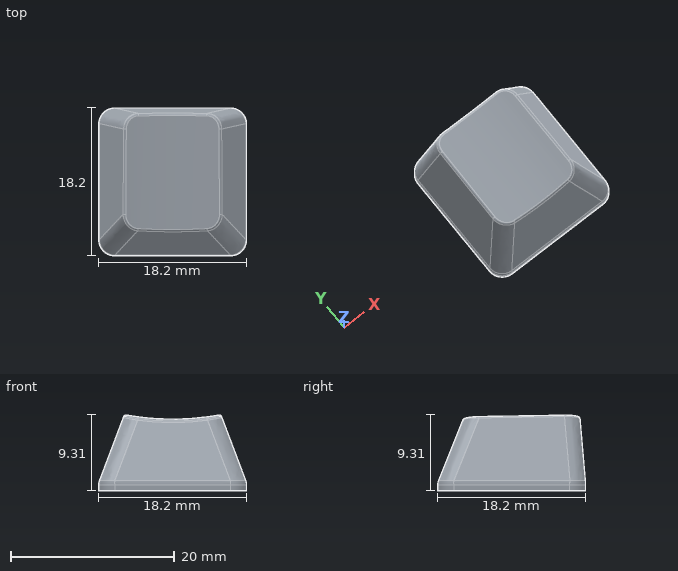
import cadquery as cq
import math


skirt_width = 18.16
skirt_height = 0.72
skirt_corner_radius = 2.0

band_top = 1.28

side_lean = 20.7
front_lean = 21.9
back_lean = 4.9
blank_height = 11.0
wall_corner_radius = 1.9

dish_radius = 31.0
dish_tilt = 1.0
dish_center_height = 8.67
rim_radius = 0.3


def wall_inset(lean, height):
    """Distance a wall has moved in from the skirt: an arc through the band, then a straight slope."""
    full_angle = math.radians(lean)
    arc_radius = (band_top - skirt_height) / math.sin(full_angle)
    arc_height = min(height, band_top) - skirt_height
    arc_angle = math.asin(arc_height / arc_radius)
    slope_height = max(height - band_top, 0)
    return arc_radius * (1 - math.cos(arc_angle)) + slope_height * math.tan(full_angle)


def wall_section(height, corner_radius):
    """Rounded outline of the walls at a height."""
    front_inset = wall_inset(front_lean, height)
    back_inset = wall_inset(back_lean, height)
    width = skirt_width - 2 * wall_inset(side_lean, height)
    depth = skirt_width - front_inset - back_inset
    center = cq.Vector(0, (front_inset - back_inset) / 2, height)
    section = cq.Sketch().rect(width, depth).vertices().fillet(corner_radius)
    return section.moved(cq.Location(center))


def make_skirt():
    skirt = wall_section(skirt_height, skirt_corner_radius)
    return cq.Workplane("XY").placeSketch(skirt).extrude(-skirt_height)


def make_band():
    middle_height = (skirt_height + band_top) / 2
    middle_corner_radius = (skirt_corner_radius + wall_corner_radius) / 2
    bottom = wall_section(skirt_height, skirt_corner_radius)
    middle = wall_section(middle_height, middle_corner_radius)
    top = wall_section(band_top, wall_corner_radius)
    return cq.Workplane("XY").placeSketch(bottom, middle, top).loft()


def make_leaning_walls():
    bottom = wall_section(band_top, wall_corner_radius)
    top = wall_section(blank_height, wall_corner_radius)
    return cq.Workplane("XY").placeSketch(bottom, top).loft(ruled=True)


def cut_dish(body):
    cutter = (
        cq.Workplane("XZ", origin=(0, 0, dish_center_height + dish_radius))
        .circle(dish_radius)
        .extrude(skirt_width, both=True)
        .rotate((0, 0, dish_center_height), (1, 0, dish_center_height), dish_tilt)
    )
    return body.cut(cutter)


def round_rim(body):
    dish_face = cq.selectors.NearestToPointSelector((0, 0, dish_center_height))
    return body.faces(dish_face).edges().fillet(rim_radius)


body = make_skirt().union(make_band()).union(make_leaning_walls())
body = cut_dish(body)
result = round_rim(body)